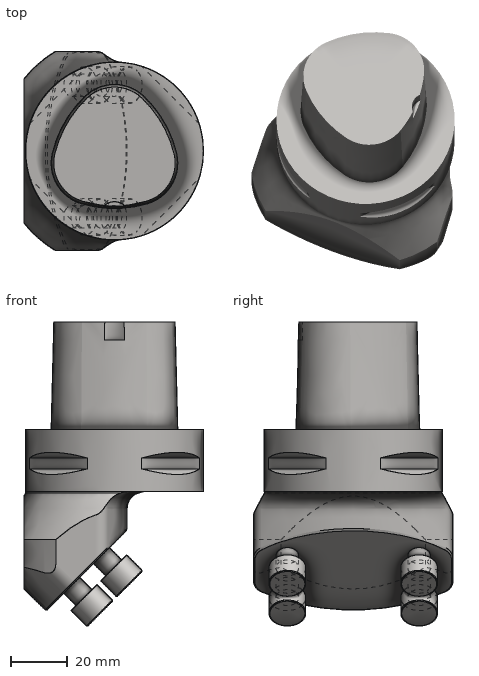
import cadquery as cq
import math

FLANGE_DIAMETER = 63.0
FLANGE_RADIUS = FLANGE_DIAMETER / 2
FLANGE_HEIGHT = 22.0

GROOVE_COUNT = 4
GROOVE_FIRST_ANGLE = 45.0
GROOVE_FLOOR_DISTANCE = 28.0
GROOVE_FLOOR_HEIGHT = 3.8
GROOVE_CENTRE_Z = -12.0
GROOVE_FLANK_ANGLE = 30.0

SHANK_HEIGHT = 38.0
SHANK_MEAN_RADIUS = 21.95
SHANK_ECCENTRICITY = 1.6
SHANK_LOBE_RADIUS = 15.0
SHANK_TAPER_ANGLE = math.degrees(math.atan(1 / 40))
LOBE_ANGLES = (90.0, 210.0, 330.0)
LOBE_HALF_PITCH = 60.0

NOTCH_RADIUS = 5.0
NOTCH_DEPTH = 6.4
NOTCH_BOTTOM_Y = -17.9

HEAD_RADIUS = 40.9
HEAD_HALF_WIDTH = 35.25
HEAD_BACK_X = -32.0
HEAD_FRONT_X = 4.5
HEAD_FRONT_RADIUS = 80.0
HEAD_FRONT_CORNER_RADIUS = 4.5
HEAD_FLANGE_FILLET = 6.0
COLLAR_RADIUS = 31.4
COLLAR_HEIGHT = 0.5
HEAD_CONE_HALF_ANGLE = 30.0

TILT = 45.0
FACE_DISTANCE = 40.0 * math.cos(math.radians(TILT))
FACE_CHAMFER = 0.5
END_ROUND_RADIUS = 62.5
END_CORNER_RADIUS = 6.25

SCREW_DIAMETER = 8.0
SCREW_HEAD_DIAMETER = 13.0
SCREW_HEAD_HEIGHT = 8.0
SCREW_HEAD_CHAMFER = 0.3
SCREW_CLEARANCE = 6.15
SCREW_EMBED = 5.0
SCREW_HALF_SPACING_Y = 23.3
SCREW_LOWER_OFFSET = 49.63
SCREW_ROW_SPACING = 14.85

OVERSIZE = 100.0


def polar(radius, angle):
    """Point at a radius and an angle in degrees."""
    turn = math.radians(angle)
    return radius * math.cos(turn), radius * math.sin(turn)


def tilted_plane(distance):
    """Plane across the tilted axis; local x points down toward -X, local y along -Y."""
    turn = math.radians(TILT)
    normal = (math.sin(turn), 0, -math.cos(turn))
    origin = tuple(distance * part for part in normal)
    return cq.Plane(origin=origin, xDir=(-math.cos(turn), 0, -math.sin(turn)), normal=normal)


END_FACE = cq.selectors.DirectionMinMaxSelector(tilted_plane(0).zDir)


def make_shank():
    """Polygon of six tangent arcs, extruded upward with a taper."""
    lobe_reach = SHANK_MEAN_RADIUS + SHANK_ECCENTRICITY
    flat_reach = SHANK_MEAN_RADIUS - SHANK_ECCENTRICITY
    lobe_offset = lobe_reach - SHANK_LOBE_RADIUS
    gap = flat_reach - SHANK_LOBE_RADIUS
    flat_offset = (gap**2 - lobe_offset**2) / (lobe_offset - 2 * gap)

    def seam(lobe_angle, flat_angle):
        """Tangent point between a lobe arc and a flat arc."""
        lobe_x, lobe_y = polar(lobe_offset, lobe_angle)
        flat_x, flat_y = polar(-flat_offset, flat_angle)
        stretch = SHANK_LOBE_RADIUS / math.hypot(lobe_x - flat_x, lobe_y - flat_y)
        return lobe_x + (lobe_x - flat_x) * stretch, lobe_y + (lobe_y - flat_y) * stretch

    first_lobe = LOBE_ANGLES[0]
    outline = cq.Workplane("XY").moveTo(*seam(first_lobe, first_lobe - LOBE_HALF_PITCH))
    for lobe in LOBE_ANGLES:
        flat = lobe + LOBE_HALF_PITCH
        next_lobe = flat + LOBE_HALF_PITCH
        outline = outline.threePointArc(polar(lobe_reach, lobe), seam(lobe, flat))
        outline = outline.threePointArc(polar(flat_reach, flat), seam(next_lobe, flat))
    shank = outline.close().extrude(SHANK_HEIGHT, taper=SHANK_TAPER_ANGLE)

    notch = (
        cq.Workplane("XY", origin=(0, NOTCH_BOTTOM_Y - NOTCH_RADIUS, SHANK_HEIGHT - NOTCH_DEPTH))
        .circle(NOTCH_RADIUS)
        .extrude(NOTCH_DEPTH)
    )
    return shank.cut(notch)


def make_flange():
    """Round flange with gripper grooves."""
    flange = cq.Workplane("XY").circle(FLANGE_RADIUS).extrude(-FLANGE_HEIGHT)
    floor_half = GROOVE_FLOOR_HEIGHT / 2
    depth = FLANGE_RADIUS - GROOVE_FLOOR_DISTANCE
    mouth_half = floor_half + depth * math.tan(math.radians(GROOVE_FLANK_ANGLE))
    groove = (
        cq.Workplane("XZ")
        .moveTo(GROOVE_FLOOR_DISTANCE, GROOVE_CENTRE_Z - floor_half)
        .lineTo(FLANGE_RADIUS, GROOVE_CENTRE_Z - mouth_half)
        .lineTo(FLANGE_RADIUS, GROOVE_CENTRE_Z + mouth_half)
        .lineTo(GROOVE_FLOOR_DISTANCE, GROOVE_CENTRE_Z + floor_half)
        .close()
        .extrude(FLANGE_RADIUS, both=True)
    )
    for index in range(GROOVE_COUNT):
        angle = GROOVE_FIRST_ANGLE + index * 360 / GROOVE_COUNT
        flange = flange.cut(groove.rotate((0, 0, 0), (0, 0, 1), angle))
    return flange


def make_head_block():
    """Upright block with a rounded front, flared into the flange underside."""
    front_centre_x = HEAD_FRONT_X - HEAD_FRONT_RADIUS
    side_x = front_centre_x + math.sqrt(HEAD_FRONT_RADIUS**2 - HEAD_HALF_WIDTH**2)
    block = (
        cq.Workplane("XY", origin=(0, 0, -FLANGE_HEIGHT))
        .moveTo(-OVERSIZE, -HEAD_HALF_WIDTH)
        .lineTo(side_x, -HEAD_HALF_WIDTH)
        .threePointArc((HEAD_FRONT_X, 0), (side_x, HEAD_HALF_WIDTH))
        .lineTo(-OVERSIZE, HEAD_HALF_WIDTH)
        .close()
        .extrude(-OVERSIZE)
        .edges("|Z")
        .edges(">X")
        .fillet(HEAD_FRONT_CORNER_RADIUS)
    )
    plate = (
        cq.Workplane("XY", origin=(0, 0, -FLANGE_HEIGHT))
        .rect(2 * OVERSIZE, 2 * OVERSIZE)
        .extrude(FLANGE_HEIGHT)
    )
    inner_edge = cq.selectors.BoxSelector(
        (0, -1, -FLANGE_HEIGHT - 1),
        (HEAD_FRONT_X + 1, 1, -FLANGE_HEIGHT + 1),
    )
    return block.union(plate).edges(inner_edge).fillet(HEAD_FLANGE_FILLET)


def make_head_round():
    """Collar, cone and cylinder around Z that bound the head."""
    collar_z = -FLANGE_HEIGHT - COLLAR_HEIGHT
    cone_height = (HEAD_RADIUS - COLLAR_RADIUS) / math.tan(math.radians(HEAD_CONE_HALF_ANGLE))
    return (
        cq.Workplane("XZ")
        .moveTo(0, -FLANGE_HEIGHT)
        .lineTo(COLLAR_RADIUS, -FLANGE_HEIGHT)
        .lineTo(COLLAR_RADIUS, collar_z)
        .lineTo(HEAD_RADIUS, collar_z - cone_height)
        .lineTo(HEAD_RADIUS, -OVERSIZE)
        .lineTo(0, -OVERSIZE)
        .close()
        .revolve()
    )


def make_tilted_bar():
    """Bar along the tilted axis with a rounded lower side, ending at the tilted face."""
    arc_side = math.sqrt(END_ROUND_RADIUS**2 - HEAD_HALF_WIDTH**2)
    bar = (
        cq.Workplane(tilted_plane(FACE_DISTANCE - OVERSIZE))
        .moveTo(-OVERSIZE, -HEAD_HALF_WIDTH)
        .lineTo(arc_side, -HEAD_HALF_WIDTH)
        .threePointArc((END_ROUND_RADIUS, 0), (arc_side, HEAD_HALF_WIDTH))
        .lineTo(-OVERSIZE, HEAD_HALF_WIDTH)
        .close()
        .extrude(OVERSIZE)
    )
    corners = cq.selectors.ParallelDirSelector(tilted_plane(0).zDir)
    return bar.edges(corners).edges("<Z").fillet(END_CORNER_RADIUS)


def make_head():
    """Head body trimmed by its flat back and ending in a chamfered tilted face."""
    back_trim = (
        cq.Workplane("XY", origin=(HEAD_BACK_X + OVERSIZE / 2, 0, -OVERSIZE))
        .rect(OVERSIZE, 2 * OVERSIZE)
        .extrude(OVERSIZE)
    )
    head = make_head_block().intersect(make_head_round())
    head = head.intersect(back_trim).intersect(make_tilted_bar())
    return head.faces(END_FACE).chamfer(FACE_CHAMFER)


def make_screw(row_offset, y):
    """Cap screw at a place on the tilted face."""
    head_start = FACE_DISTANCE + SCREW_CLEARANCE
    stem = (
        cq.Workplane(tilted_plane(FACE_DISTANCE - SCREW_EMBED))
        .center(row_offset, -y)
        .circle(SCREW_DIAMETER / 2)
        .extrude(SCREW_EMBED + SCREW_CLEARANCE)
    )
    cap = (
        cq.Workplane(tilted_plane(head_start))
        .center(row_offset, -y)
        .circle(SCREW_HEAD_DIAMETER / 2)
        .extrude(SCREW_HEAD_HEIGHT)
        .faces(END_FACE)
        .chamfer(SCREW_HEAD_CHAMFER)
    )
    return stem.union(cap)


result = make_flange().union(make_shank()).union(make_head())
for row_offset in (SCREW_LOWER_OFFSET, SCREW_LOWER_OFFSET - SCREW_ROW_SPACING):
    for side in (-1, 1):
        result = result.union(make_screw(row_offset, side * SCREW_HALF_SPACING_Y))